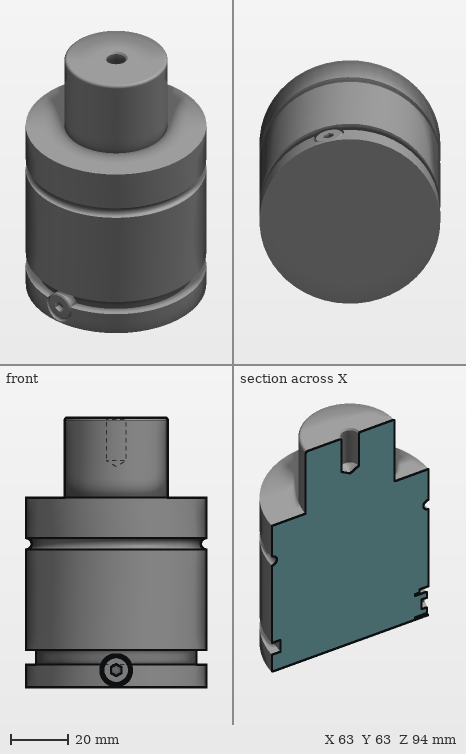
import cadquery as cq
import math

total_height = 94.0
body_diameter = 63.0
body_top = 66.1
body_radius = body_diameter / 2

rod_diameter = 36.0
rod_edge = 1.0

rod_hole_diameter = 6.8
rod_hole_mouth_diameter = 8.0
rod_hole_depth = 15.0
drill_tip_angle = 118.0

round_groove_radius = 2.0
round_groove_height = 50.0

neck_diameter = 56.0
neck_bottom = 7.9
neck_top = 13.0

plug_height = 6.0
pocket_diameter = 11.0
pocket_floor_radius = 26.0
plug_diameter = 10.0
plug_face_radius = 31.0
plug_chamfer = 0.5
hex_across_flats = 3.6
hex_depth = 2.35


def make_body():
    """Body with the rod on top, before the hole and grooves are cut."""
    body = cq.Workplane("XY").circle(body_radius).extrude(body_top)
    rod = (
        cq.Workplane("XY")
        .workplane(offset=body_top)
        .circle(rod_diameter / 2)
        .extrude(total_height - body_top)
        .faces(">Z")
        .edges()
        .fillet(rod_edge)
    )
    return body.union(rod)


def make_rod_hole():
    """Blind drilled hole with a 45 degree mouth chamfer and a conical tip."""
    radius = rod_hole_diameter / 2
    mouth_radius = rod_hole_mouth_diameter / 2
    floor = total_height - rod_hole_depth
    tip_length = radius / math.tan(math.radians(drill_tip_angle / 2))
    return (
        cq.Workplane("XZ")
        .moveTo(0, total_height)
        .lineTo(mouth_radius, total_height)
        .lineTo(radius, total_height - (mouth_radius - radius))
        .lineTo(radius, floor)
        .lineTo(0, floor - tip_length)
        .close()
        .revolve(360, (0, 0, 0), (0, 1, 0))
    )


def make_round_groove():
    """Ring of circular section centred on the body surface."""
    return (
        cq.Workplane("XZ")
        .center(body_radius, round_groove_height)
        .circle(round_groove_radius)
        .revolve(360, (-body_radius, 0, 0), (-body_radius, 1, 0))
    )


def make_neck_groove():
    """Ring that leaves the neck between the body and the base flange."""
    return (
        cq.Workplane("XY")
        .workplane(offset=neck_bottom)
        .circle(body_radius)
        .circle(neck_diameter / 2)
        .extrude(neck_top - neck_bottom)
    )


def plug_plane(radius):
    """Plane facing -Y, centred on the plug axis at a distance from the body axis."""
    return cq.Workplane("XZ", origin=(0, -radius, plug_height))


def make_pocket():
    """Round pocket running outward from its floor through the body surface."""
    return plug_plane(pocket_floor_radius).circle(pocket_diameter / 2).extrude(body_radius - pocket_floor_radius)


def make_plug():
    """Plug with a chamfered rim and a hexagon socket, one corner upward."""
    hex_diameter = hex_across_flats / math.cos(math.pi / 6)
    plug = (
        plug_plane(pocket_floor_radius)
        .circle(plug_diameter / 2)
        .extrude(plug_face_radius - pocket_floor_radius)
        .faces("<Y")
        .edges()
        .chamfer(plug_chamfer)
    )
    socket = (
        plug_plane(plug_face_radius - hex_depth)
        .transformed(rotate=(0, 0, 90))
        .polygon(6, hex_diameter)
        .extrude(hex_depth)
    )
    return plug.cut(socket)


result = (
    make_body()
    .cut(make_rod_hole())
    .cut(make_round_groove())
    .cut(make_neck_groove())
    .cut(make_pocket())
    .union(make_plug())
)